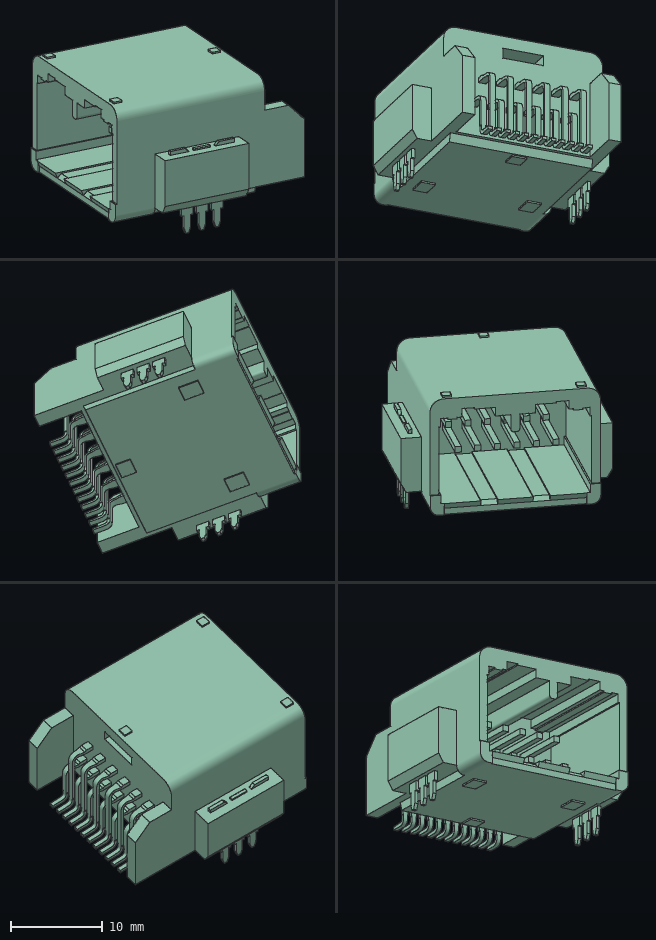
import cadquery as cq


body_width = 19.08
body_depth = 18.53
body_height = 13.63
half_body = body_width / 2
top_radius = 1.5
bottom_radius = 1.0
underside_step = bottom_radius
foot_rear_top = 18.08
foot_rear_bottom = 17.82

cavity_depth = 14.27
cavity_half_width = 8.55
corner_half_width = 8.35
floor_height = 1.38
lip_height = 2.38
side_wall_top = 10.32
shoulder_height = 11.32
roof_height = 12.32
roof_inner = 4.6
roof_outer = 5.97
ridge_inner = 6.52
ridge_outer = 7.55
step = 0.17
key_half_width = 2.24
key_bottom = shoulder_height - step
rib_half_width = 0.5
rib_bottom = 9.14
rib_radius = 0.33
window_clearance = 0.2

lip_depth = 0.2
floor_half_width = 7.97
tongue_reach = 0.25
tongue_root_height = 0.74
groove_inner = 1.97
groove_outer = 3.88
groove_height = 1.21
groove_ramp_length = 0.48

wing_length = 5.0
wing_thickness = top_radius
wing_top = 9.87
wing_chamfer = 2.0

flange_reach = 11.85
flange_front = 4.75
flange_rear = 15.25
flange_top = 7.4
flange_chamfer_x = 0.6
flange_chamfer_z = 1.0

plate_x = 10.55
plate_thickness = 0.4
peg_middle = 10.05
peg_pitch = 1.88
peg_shoulder_width = 1.43
peg_shoulder_bottom = -0.1
peg_width = 0.83
peg_taper_start = -1.52
peg_tip_width = 0.35
peg_tip = -2.2
hook_inner = 1.67
hook_bevel = 0.43
hook_outer = 4.02
hook_height = 0.45
bar_length = 2.1
bar_height = 0.17

pad_height = 0.2
top_pad_size = 1.02
top_pad_front = 0.45
top_pad_rear = 16.99
bottom_rear_pad_size = 1.75
bottom_rear_pad_y = 16.65
bottom_side_pad_x = 6.35
bottom_side_pad_y = 6.15
bottom_side_pad_width = 1.7
bottom_side_pad_length = 2.3

contact_count = 12
contact_pitch = 1.1
upper_row_height = 7.64
lower_row_height = 4.62
pin_size = 0.7
pin_front = 7.23
tail_width = 0.9
tail_neck_start = 19.8
tail_neck_end = 20.44
neck_width = 0.67
thick_end = 19.45
thin_start = 19.72
lead_thickness = 0.35
leg_rear = 21.35
bend_radius = 0.85
solder_foot_bottom = -pad_height
solder_foot_end = 23.1
solder_foot_width = 0.52
solder_foot_radius = 0.75
solder_foot_rise = 0.1


def box(x0, x1, y0, y1, z0, z1):
    return cq.Workplane("XY").box(x1 - x0, y1 - y0, z1 - z0, centered=False).translate((x0, y0, z0))


def centered_pad(x, y, width, length, z0, z1):
    return box(x - width / 2, x + width / 2, y - length / 2, y + length / 2, z0, z1)


def along_depth(points, y0, y1):
    """Closed XZ outline swept from y0 to y1."""
    return cq.Workplane("XZ").polyline(points).close().extrude(y0 - y1).translate((0, y0, 0))


def across_width(points, x0, x1):
    """Closed YZ outline swept from x0 to x1."""
    return cq.Workplane("YZ").polyline(points).close().extrude(x1 - x0).translate((x0, 0, 0))


def with_mirror(solid):
    return solid.union(solid.mirror("YZ"))


def make_shell():
    shell = box(-half_body, half_body, -lip_depth, body_depth, 0, body_height)
    shell = shell.edges("|Y and >Z").fillet(top_radius)
    shell = shell.edges("|Y and <Z").fillet(bottom_radius)
    shell = shell.cut(box(-half_body, half_body, -lip_depth, 0, lip_height, body_height))
    shell = shell.cut(box(-floor_half_width, floor_half_width, -lip_depth, 0, 0, lip_height))
    side_relief = box(cavity_half_width, half_body, flange_front, body_depth, 0, underside_step)
    shell = shell.cut(with_mirror(side_relief))
    rear_relief = [
        (foot_rear_top, underside_step),
        (foot_rear_bottom, 0),
        (body_depth, 0),
        (body_depth, underside_step),
    ]
    return shell.cut(across_width(rear_relief, -half_body, half_body))


def make_cavity():
    right_half = [
        (key_half_width, key_bottom),
        (key_half_width, roof_height - step),
        (roof_inner, roof_height - step),
        (roof_inner, roof_height),
        (roof_outer, roof_height),
        (roof_outer, shoulder_height),
        (ridge_inner, shoulder_height),
        (ridge_inner, shoulder_height - step),
        (ridge_outer, shoulder_height - step),
        (ridge_outer, shoulder_height),
        (corner_half_width, shoulder_height),
        (corner_half_width, side_wall_top),
        (cavity_half_width, side_wall_top),
        (cavity_half_width, lip_height),
        (corner_half_width, lip_height),
        (corner_half_width, floor_height),
    ]
    left_half = [(-x, z) for x, z in reversed(right_half)]
    cavity = along_depth(right_half + left_half, -lip_depth, cavity_depth)
    window_half = key_half_width + window_clearance
    window = box(
        -window_half, window_half, cavity_depth, body_depth, key_bottom - window_clearance, roof_height - step
    )
    return cavity.union(window)


def make_rib():
    rib = box(-rib_half_width, rib_half_width, 0, cavity_depth, rib_bottom, key_bottom)
    return rib.edges("|Y and <Z").fillet(rib_radius)


def make_grooves():
    profile = [
        (0, tongue_root_height),
        (groove_ramp_length, groove_height),
        (cavity_depth, groove_height),
        (cavity_depth, floor_height),
        (0, floor_height),
    ]
    return with_mirror(across_width(profile, groove_inner, groove_outer))


def make_tongues():
    profile = [
        (0, tongue_root_height),
        (-tongue_reach, floor_height),
        (0, floor_height),
    ]
    middle = across_width(profile, -groove_inner, groove_inner)
    return middle.union(with_mirror(across_width(profile, groove_outer, floor_half_width)))


def make_wings():
    rear = body_depth + wing_length
    profile = [
        (body_depth, underside_step),
        (rear, underside_step),
        (rear, wing_top - wing_chamfer),
        (rear - wing_chamfer, wing_top),
        (body_depth, wing_top),
    ]
    return with_mirror(across_width(profile, half_body - wing_thickness, half_body))


def make_flanges():
    outline = [
        (half_body, underside_step),
        (flange_reach - flange_chamfer_x, underside_step),
        (flange_reach, underside_step + flange_chamfer_z),
        (flange_reach, flange_top),
        (half_body, flange_top),
    ]
    return with_mirror(along_depth(outline, flange_front, flange_rear))


def make_hold_downs():
    x0 = plate_x - plate_thickness / 2
    x1 = plate_x + plate_thickness / 2
    parts = centered_pad(
        plate_x, peg_middle, plate_thickness, bar_length, flange_top, flange_top + bar_height
    )
    for side in (-1, 1):
        hook = [
            (peg_middle + side * hook_inner, flange_top),
            (peg_middle + side * (hook_inner + hook_bevel), flange_top + hook_height),
            (peg_middle + side * hook_outer, flange_top + hook_height),
            (peg_middle + side * hook_outer, flange_top),
        ]
        parts = parts.union(across_width(hook, x0, x1))
    for index in (-1, 0, 1):
        y = peg_middle + index * peg_pitch
        front_half = [
            (y - peg_shoulder_width / 2, underside_step),
            (y - peg_shoulder_width / 2, peg_shoulder_bottom),
            (y - peg_width / 2, peg_shoulder_bottom),
            (y - peg_width / 2, peg_taper_start),
            (y - peg_tip_width / 2, peg_tip),
        ]
        rear_half = [(2 * y - py, z) for py, z in reversed(front_half)]
        parts = parts.union(across_width(front_half + rear_half, x0, x1))
    return with_mirror(parts)


def make_pads():
    top = body_height + pad_height
    half = top_pad_size / 2
    pads = centered_pad(0, top_pad_rear + half, top_pad_size, top_pad_size, body_height, top)
    front_pad_x = half_body - top_radius - half
    front = centered_pad(front_pad_x, top_pad_front + half, top_pad_size, top_pad_size, body_height, top)
    pads = pads.union(with_mirror(front))
    rear = centered_pad(0, bottom_rear_pad_y, bottom_rear_pad_size, bottom_rear_pad_size, -pad_height, 0)
    side = centered_pad(
        bottom_side_pad_x,
        bottom_side_pad_y,
        bottom_side_pad_width,
        bottom_side_pad_length,
        -pad_height,
        0,
    )
    return pads.union(rear).union(with_mirror(side))


def make_contact(x, z):
    """Square pin, tail bent down behind the back wall, and solder foot."""
    half = pin_size / 2
    pin = box(x - half, x + half, pin_front, body_depth, z - half, z + half)
    thin_top = z + half - step
    thin_bottom = thin_top - lead_thickness
    leg_front = leg_rear - lead_thickness
    bend_start = leg_rear - bend_radius
    inner_radius = bend_radius - lead_thickness
    tail_profile = (
        cq.Workplane("YZ")
        .moveTo(body_depth, thin_bottom)
        .lineTo(body_depth, z + half)
        .lineTo(thick_end, z + half)
        .lineTo(thin_start, thin_top)
        .lineTo(bend_start, thin_top)
        .radiusArc((leg_rear, thin_top - bend_radius), bend_radius)
        .lineTo(leg_rear, underside_step)
        .lineTo(leg_front, underside_step)
        .lineTo(leg_front, thin_top - bend_radius)
        .radiusArc((bend_start, thin_bottom), -inner_radius)
        .close()
    )
    tail = tail_profile.extrude(tail_width / 2, both=True)
    plan = [
        (tail_width / 2, body_depth),
        (tail_width / 2, tail_neck_start),
        (neck_width / 2, tail_neck_end),
        (neck_width / 2, leg_rear),
    ]
    plan += [(-px, py) for px, py in reversed(plan)]
    tail = tail.intersect(cq.Workplane("XY").polyline(plan).close().extrude(body_height))
    foot_top = solder_foot_bottom + lead_thickness
    bend_top = foot_top + solder_foot_rise
    inner_foot_radius = solder_foot_radius - lead_thickness
    foot_profile = (
        cq.Workplane("YZ")
        .moveTo(leg_front, underside_step)
        .lineTo(leg_front, solder_foot_bottom + solder_foot_radius)
        .radiusArc((leg_front + solder_foot_radius, solder_foot_bottom), -solder_foot_radius)
        .lineTo(solder_foot_end, solder_foot_bottom)
        .lineTo(solder_foot_end, foot_top)
        .lineTo(leg_rear + inner_foot_radius, bend_top)
        .radiusArc((leg_rear, bend_top + inner_foot_radius), inner_foot_radius)
        .lineTo(leg_rear, underside_step)
        .close()
    )
    foot = foot_profile.extrude(solder_foot_width / 2, both=True)
    return pin.union(tail.union(foot).translate((x, 0, 0)))


result = make_shell().cut(make_cavity()).cut(make_grooves())
for feature in (make_rib(), make_tongues(), make_wings(), make_flanges(), make_hold_downs(), make_pads()):
    result = result.union(feature)
for index in range(contact_count):
    contact_x = (index - (contact_count - 1) / 2) * contact_pitch
    row_height = upper_row_height if index % 2 == 0 else lower_row_height
    result = result.union(make_contact(contact_x, row_height))